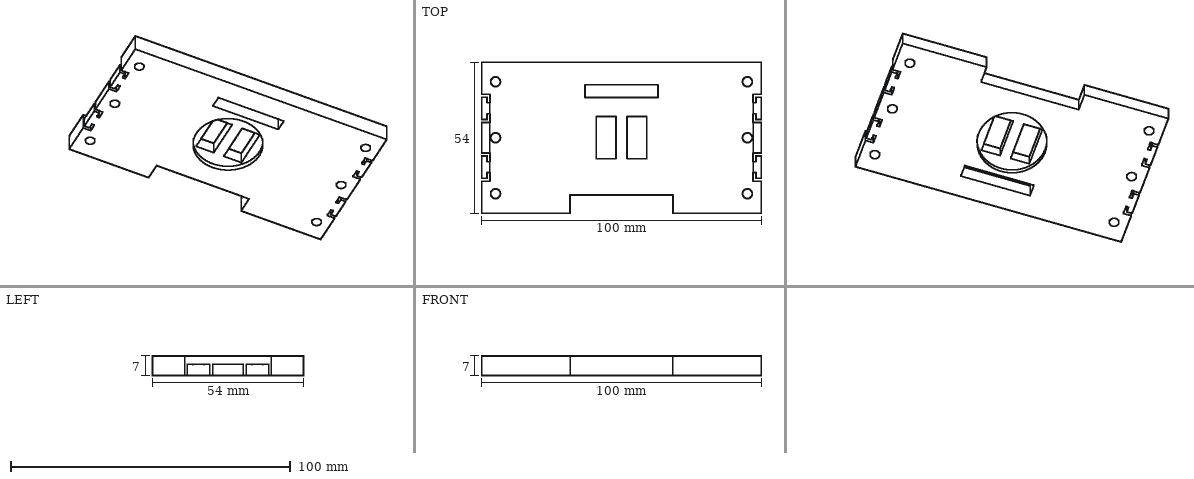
import cadquery as cq

length = 100.0
width = 54.0
thickness = 7.0

hole_diameter = 3.4
hole_end_distance = 5.0
hole_pitch = 20.0

notch_length = 36.75
notch_depth = 6.5

slot_length = 26.0
slot_width = 4.5
slot_center_y = 16.625

window_length = 7.0
window_width = 15.0
window_gap = 4.0

pocket_diameter = 25.0
pocket_depth = 2.0

gap = 1.0
recess_depth = 3.0
lug_height = 4.0
bar_width = 11.0
tab_width = 8.0
tab_undercut_depth = 1.0
tab_undercut_width = 2.0

tab_center_y = bar_width / 2 + gap + tab_width / 2
recess_width = bar_width + 2 * tab_width + 4 * gap
recess_floor_x = length / 2 - recess_depth


def block(size_x, size_y, height, center_x, center_y):
    """Box standing on Z = 0, centred at the given X and Y."""
    box = cq.Workplane("XY").box(size_x, size_y, height, centered=(True, True, False))
    return box.translate((center_x, center_y, 0))


def make_plate():
    """Plate with the notch, the slot and the windows cut through."""
    plate = block(length, width, thickness, 0, 0)
    notch_center_y = -width / 2 + notch_depth / 2
    plate = plate.cut(block(notch_length, notch_depth, thickness, 0, notch_center_y))
    plate = plate.cut(block(slot_length, slot_width, thickness, 0, slot_center_y))
    for side in (-1, 1):
        window_x = side * (window_gap + window_length) / 2
        plate = plate.cut(block(window_length, window_width, thickness, window_x, 0))
    return plate


def cut_underside_pocket(plate):
    """Round pocket in the underside that the windows open into."""
    pocket = cq.Workplane("XY").circle(pocket_diameter / 2).extrude(pocket_depth)
    return plate.cut(pocket)


def make_tab(side, center_y):
    """T-shaped lug: a narrow stem on the recess floor and a wider head at the end face."""
    stem_width = tab_width - 2 * tab_undercut_width
    head_depth = recess_depth - tab_undercut_depth
    stem_x = side * (recess_floor_x + recess_depth / 2)
    head_x = side * (length / 2 - head_depth / 2)
    stem = block(recess_depth, stem_width, lug_height, stem_x, center_y)
    head = block(head_depth, tab_width, lug_height, head_x, center_y)
    return stem.union(head)


def add_end_lugs(plate, side):
    """Cut the recess in one short end and leave a bar between two T-shaped tabs."""
    recess_x = side * (recess_floor_x + recess_depth / 2)
    plate = plate.cut(block(recess_depth, recess_width, thickness, recess_x, 0))
    plate = plate.union(block(recess_depth, bar_width, lug_height, recess_x, 0))
    for center_y in (-tab_center_y, tab_center_y):
        plate = plate.union(make_tab(side, center_y))
    return plate


def drill_holes(plate):
    """Three through holes along each short end."""
    hole_x = length / 2 - hole_end_distance
    centers = [(side * hole_x, row * hole_pitch) for side in (-1, 1) for row in (-1, 0, 1)]
    drills = cq.Workplane("XY").pushPoints(centers).circle(hole_diameter / 2).extrude(thickness)
    return plate.cut(drills)


part = cut_underside_pocket(make_plate())
for end in (-1, 1):
    part = add_end_lugs(part, end)
result = drill_holes(part)